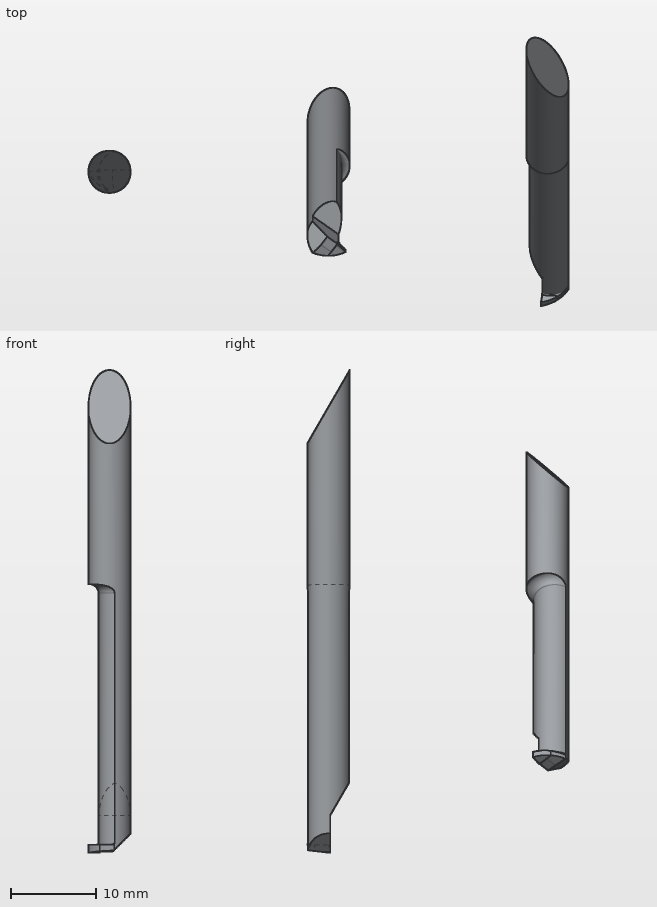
import cadquery as cq
import math

LENGTH = 56.6
SHANK_RADIUS = 2.5
TOP_FACE_ANGLE = 60.0

NECK_OFFSET = 1.2
NECK_RADIUS = SHANK_RADIUS
NECK_TOP = 31.45
NECK_FILLET = 1.0

FLAT_Y = 0.2
FLAT_TOP = 4.4
FLAT_RUNOUT_ANGLE = 60.0
END_CHAMFER = 2.25

HEAD_TOP = 0.95
HEAD_END_X = 0.55
HEAD_MIDDLE = (-1.15, -1.65)
HEAD_FILLET = 0.15
CLEARANCE_RISE = 0.3
BAR_BOTTOM = 0.1
TIP_JOINT_X = HEAD_MIDDLE[0]

CUT_WIDTH = 4 * SHANK_RADIUS


def slope(angle):
    """Rise per unit run of a face at an angle in degrees."""
    return math.tan(math.radians(angle))


def make_shank():
    """Round bar cut by a slanted plane that peaks at the +Y side."""
    front_height = LENGTH - 2 * SHANK_RADIUS * slope(TOP_FACE_ANGLE)
    profile = (
        cq.Workplane("YZ")
        .polyline([
            (-SHANK_RADIUS, 0),
            (SHANK_RADIUS, 0),
            (SHANK_RADIUS, LENGTH),
            (-SHANK_RADIUS, front_height),
        ])
        .close()
        .extrude(CUT_WIDTH / 2, both=True)
    )
    return cq.Workplane("XY").circle(SHANK_RADIUS).extrude(LENGTH).intersect(profile)


def make_neck_cutter():
    """Ring around the neck, rounded where the neck meets the shank and head."""
    outer_radius = NECK_RADIUS + CUT_WIDTH / 2
    arc_inset = 1 - math.sqrt(0.5)
    top_inset = NECK_FILLET * arc_inset
    head_inset = HEAD_FILLET * arc_inset
    return (
        cq.Workplane("XZ")
        .moveTo(outer_radius, HEAD_TOP)
        .lineTo(NECK_RADIUS + HEAD_FILLET, HEAD_TOP)
        .threePointArc(
            (NECK_RADIUS + head_inset, HEAD_TOP + head_inset),
            (NECK_RADIUS, HEAD_TOP + HEAD_FILLET),
        )
        .lineTo(NECK_RADIUS, NECK_TOP - NECK_FILLET)
        .threePointArc(
            (NECK_RADIUS + top_inset, NECK_TOP - top_inset),
            (NECK_RADIUS + NECK_FILLET, NECK_TOP),
        )
        .lineTo(outer_radius, NECK_TOP)
        .close()
        .revolve(360, (0, 0, 0), (0, 1, 0))
        .translate((NECK_OFFSET, 0, 0))
    )


def make_flat_cutter():
    """Removes the +Y half of the lower end, with a slanted run-out."""
    run = CUT_WIDTH / 2
    return (
        cq.Workplane("YZ")
        .polyline([
            (FLAT_Y, 0),
            (FLAT_Y, FLAT_TOP),
            (FLAT_Y + run, FLAT_TOP + run * slope(FLAT_RUNOUT_ANGLE)),
            (FLAT_Y + run, 0),
        ])
        .close()
        .extrude(CUT_WIDTH / 2, both=True)
    )


def make_end_chamfer_cutter():
    """45 degree wedge under the +X side of the bar."""
    return (
        cq.Workplane("XZ")
        .polyline([
            (SHANK_RADIUS, END_CHAMFER),
            (SHANK_RADIUS - END_CHAMFER, 0),
            (SHANK_RADIUS, 0),
        ])
        .close()
        .extrude(CUT_WIDTH / 2, both=True)
    )


def make_clearance_cutter():
    """Wedge that lifts the bottom face from the cutting edge to the -Y side."""
    return (
        cq.Workplane("YZ")
        .polyline([(0, 0), (-SHANK_RADIUS, 0), (-SHANK_RADIUS, CLEARANCE_RISE)])
        .close()
        .extrude(CUT_WIDTH / 2, both=True)
    )


def make_head_relief_cutter():
    """Trims the outside of the head to an arc inside the shank circle."""
    end_y = -math.sqrt(SHANK_RADIUS**2 - HEAD_END_X**2)
    return (
        cq.Workplane("XY")
        .moveTo(-SHANK_RADIUS, 0)
        .threePointArc(HEAD_MIDDLE, (HEAD_END_X, end_y))
        .lineTo(HEAD_END_X, -CUT_WIDTH / 2)
        .lineTo(-SHANK_RADIUS, -CUT_WIDTH / 2)
        .close()
        .extrude(HEAD_TOP)
    )


def make_rake_cutter():
    """Slanted rake face, falling from the flat to the cutting edge."""
    return (
        cq.Workplane("XY")
        .polyline([
            (-SHANK_RADIUS, 0),
            (TIP_JOINT_X, FLAT_Y),
            (TIP_JOINT_X, SHANK_RADIUS),
            (-SHANK_RADIUS, SHANK_RADIUS),
        ])
        .close()
        .extrude(HEAD_TOP)
    )


def make_tip_space():
    """Block at the -X side of the head, which the cutting tip takes up."""
    return (
        cq.Workplane("XY")
        .box(CUT_WIDTH, CUT_WIDTH, HEAD_TOP, centered=(False, True, False))
        .translate((TIP_JOINT_X - CUT_WIDTH, 0, 0))
    )


def make_bar_bottom_cutter():
    """Thin slab that keeps the bar clear of the plane of the cutting edge."""
    return cq.Workplane("XY").rect(CUT_WIDTH, CUT_WIDTH).extrude(BAR_BOTTOM)


tool = (
    make_shank()
    .cut(make_neck_cutter())
    .cut(make_flat_cutter())
    .cut(make_end_chamfer_cutter())
    .cut(make_clearance_cutter())
    .cut(make_head_relief_cutter())
    .cut(make_rake_cutter())
)

bar = tool.cut(make_tip_space()).cut(make_bar_bottom_cutter())
cutting_tip = tool.intersect(make_tip_space())

result = cq.Compound.makeCompound([*bar.solids().vals(), *cutting_tip.solids().vals()])